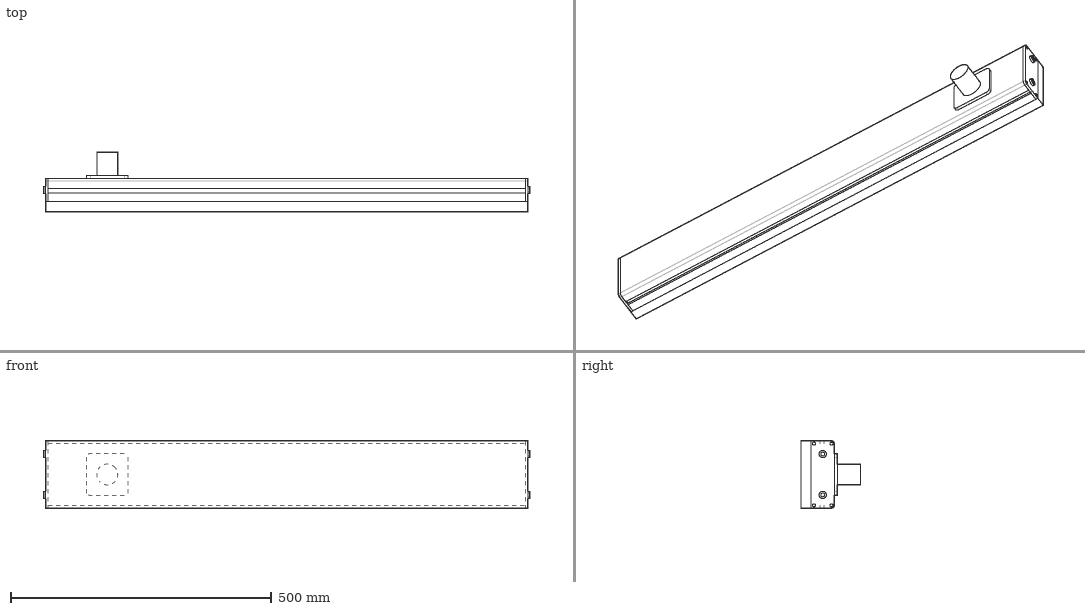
import cadquery as cq

total_length = 934.0
total_depth = 115.0
height = 130.0

panel_depth = 20.0
housing_depth = 45.0
flange_thickness = 6.0

boss_height = 4.0
boss_diameter = 14.0
boss_spacing = 78.0
socket_diameter = 7.5

plate_thickness = 5.0
corner_hole_diameter = 6.0
corner_hole_inset = 6.0

back_edge_radius = 6.0
groove_width = 8.0
groove_depth = 6.0
groove_offset = 17.0

flange_width = 80.0
flange_corner_radius = 7.5
stub_diameter = 40.0
connector_inset = 122.0

body_length = total_length - 2 * boss_height
housing_length = body_length - 2 * plate_thickness
housing_back = panel_depth + housing_depth
housing_middle = panel_depth + housing_depth / 2
connector_x = connector_inset - total_length / 2


def make_box(length, depth, front_y):
    """Full-height box, centred in X and Z, with its front face at front_y."""
    return cq.Workplane("XY").box(length, depth, height).translate((0, front_y + depth / 2, 0))


def make_rounded_box(length):
    """Box behind the panel, with its two long back edges rounded."""
    return make_box(length, housing_depth, panel_depth).edges("|X and >Y").fillet(back_edge_radius)


def make_front_panel():
    return make_box(body_length, panel_depth, 0)


def make_housing():
    """Rounded bar with one groove along its top face and one along its bottom face."""
    housing = make_rounded_box(housing_length)
    groove_y = panel_depth + groove_offset + groove_width / 2
    for side in (-1, 1):
        groove = cq.Workplane("XY").box(housing_length, groove_width, 2 * groove_depth)
        housing = housing.cut(groove.translate((0, groove_y, side * height / 2)))
    return housing


def make_end_plate(side):
    """Plate on the left (-1) or right (+1) end of the housing, with bosses and corner holes."""
    inner_x = side * housing_length / 2
    outer_x = side * body_length / 2
    plate = make_rounded_box(plate_thickness)
    plate = plate.translate((side * (housing_length + plate_thickness) / 2, 0, 0))

    boss_places = [(housing_middle, z) for z in (-boss_spacing / 2, boss_spacing / 2)]
    bosses = cq.Workplane("YZ", origin=(outer_x, 0, 0)).pushPoints(boss_places)
    sockets = bosses.circle(socket_diameter / 2).extrude(side * boss_height)
    plate = plate.union(bosses.circle(boss_diameter / 2).extrude(side * boss_height)).cut(sockets)

    hole_z = height / 2 - corner_hole_inset
    hole_places = [
        (y, z)
        for y in (panel_depth + corner_hole_inset, housing_back - corner_hole_inset)
        for z in (-hole_z, hole_z)
    ]
    corner_holes = cq.Workplane("YZ", origin=(inner_x, 0, 0)).pushPoints(hole_places)
    return plate.cut(corner_holes.circle(corner_hole_diameter / 2).extrude(side * plate_thickness))


def make_connector():
    """Square flange with rounded corners on the housing back, with a round stub pointing to +Y."""
    back_plane = cq.Workplane("XZ", origin=(connector_x, housing_back, 0))
    flange = back_plane.rect(flange_width, flange_width).extrude(-flange_thickness)
    flange = flange.edges("|Y").fillet(flange_corner_radius)
    stub = back_plane.circle(stub_diameter / 2).extrude(-(total_depth - housing_back))
    return flange.union(stub)


front_panel = make_front_panel()
housing = make_housing()
end_plates = [make_end_plate(side) for side in (-1, 1)]
connector = make_connector()

result = cq.Compound.makeCompound(
    [
        front_panel.val(),
        housing.val(),
        *[plate.val() for plate in end_plates],
        connector.val(),
    ]
)